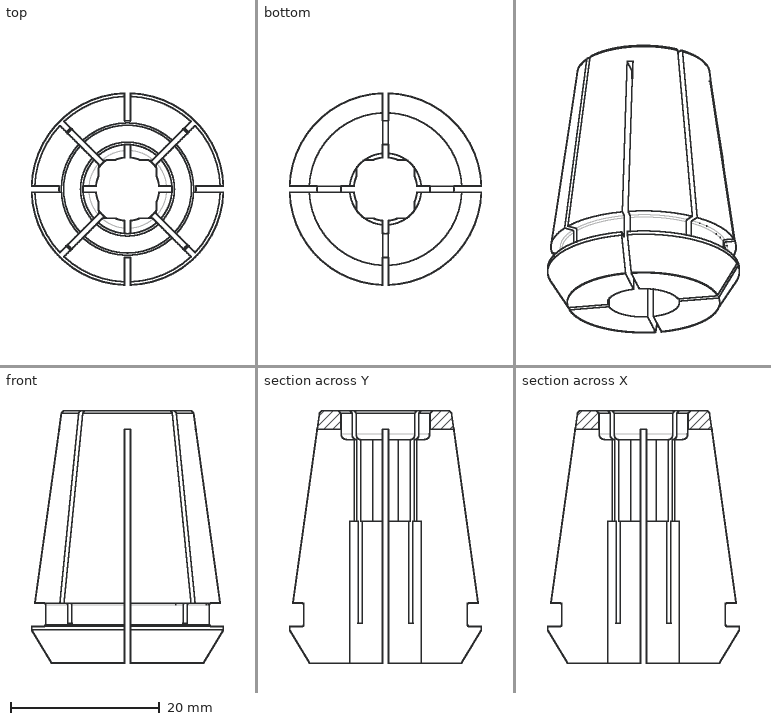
import cadquery as cq
import math

LENGTH = 34.0
FLANGE_RADIUS = 12.92

FLANGE_CONE_TOP = 4.52
FLANGE_TOP = 5.0
BOTTOM_LAND_HEIGHT = 0.1
FLANGE_BOTTOM_RADIUS = 10.27
NECK_RADIUS = 11.0
NECK_FILLET = 0.25
BODY_BOTTOM = 8.13
BODY_BOTTOM_RADIUS = 12.48
BODY_TOP_RADIUS = 8.9
TOP_EDGE_CHAMFER = 0.3

COUNTERBORE_RADIUS = 6.0
COUNTERBORE_DEPTH = 3.88
COUNTERBORE_CHAMFER = 0.35
COUNTERBORE_FILLET = 0.75
SQUARE_SIDE = 7.8
SQUARE_LENGTH = 11.0
SQUARE_RELIEF_RADIUS = 4.25
SHANK_RADIUS = 4.83

SLOT_WIDTH = 0.78
SLOT_SPAN = 3 * FLANGE_RADIUS
BOTTOM_SLOT_END = 31.5
TOP_SLOT_END = 5.45

COUNTERBORE_FLOOR = LENGTH - COUNTERBORE_DEPTH
SQUARE_END = COUNTERBORE_FLOOR - SQUARE_LENGTH


def cylinder(radius, bottom, top):
    return cq.Workplane("XY").workplane(offset=bottom).circle(radius).extrude(top - bottom)


def outer_body():
    """Revolved outside shape, filled solid."""
    fillet_inset = NECK_FILLET * (1 - math.cos(math.radians(45)))
    profile = (
        cq.Workplane("XZ")
        .lineTo(FLANGE_BOTTOM_RADIUS, 0)
        .lineTo(FLANGE_BOTTOM_RADIUS, BOTTOM_LAND_HEIGHT)
        .lineTo(FLANGE_RADIUS, FLANGE_CONE_TOP)
        .lineTo(FLANGE_RADIUS, FLANGE_TOP)
        .lineTo(NECK_RADIUS + NECK_FILLET, FLANGE_TOP)
        .threePointArc(
            (NECK_RADIUS + fillet_inset, FLANGE_TOP + fillet_inset),
            (NECK_RADIUS, FLANGE_TOP + NECK_FILLET),
        )
        .lineTo(NECK_RADIUS, BODY_BOTTOM - NECK_FILLET)
        .threePointArc(
            (NECK_RADIUS + fillet_inset, BODY_BOTTOM - fillet_inset),
            (NECK_RADIUS + NECK_FILLET, BODY_BOTTOM),
        )
        .lineTo(BODY_BOTTOM_RADIUS, BODY_BOTTOM)
        .lineTo(BODY_TOP_RADIUS, LENGTH - TOP_EDGE_CHAMFER)
        .lineTo(BODY_TOP_RADIUS - TOP_EDGE_CHAMFER, LENGTH)
        .lineTo(0, LENGTH)
        .close()
    )
    return profile.revolve(360, (0, 0, 0), (0, 1, 0))


def counterbore():
    """Round recess in the top face with a rounded floor edge and a chamfered mouth."""
    recess = cylinder(COUNTERBORE_RADIUS, COUNTERBORE_FLOOR, LENGTH)
    recess = recess.faces("<Z").edges().fillet(COUNTERBORE_FILLET)
    mouth = cq.Workplane("XY").add(
        cq.Solid.makeCone(
            COUNTERBORE_RADIUS,
            COUNTERBORE_RADIUS + COUNTERBORE_CHAMFER,
            COUNTERBORE_CHAMFER,
            cq.Vector(0, 0, LENGTH - COUNTERBORE_CHAMFER),
        )
    )
    return recess.union(mouth)


def square_socket():
    """Square hole whose flats are relieved by a coaxial round hole."""
    square = (
        cq.Workplane("XY")
        .workplane(offset=SQUARE_END)
        .rect(SQUARE_SIDE, SQUARE_SIDE)
        .extrude(SQUARE_LENGTH)
    )
    return square.union(cylinder(SQUARE_RELIEF_RADIUS, SQUARE_END, COUNTERBORE_FLOOR))


def slot_cross(bottom, top, first_angle):
    """Two slots at right angles, each running right across the part."""
    slots = cq.Workplane("XY")
    for angle in (first_angle, first_angle + 90):
        slot = (
            cq.Workplane("XY")
            .workplane(offset=bottom)
            .rect(SLOT_SPAN, SLOT_WIDTH)
            .extrude(top - bottom)
        )
        slots = slots.add(slot.rotate((0, 0, 0), (0, 0, 1), angle))
    return slots.combine()


result = (
    outer_body()
    .cut(counterbore())
    .cut(square_socket())
    .cut(cylinder(SHANK_RADIUS, 0, SQUARE_END))
    .cut(slot_cross(0, BOTTOM_SLOT_END, 0))
    .cut(slot_cross(TOP_SLOT_END, LENGTH, 45))
)